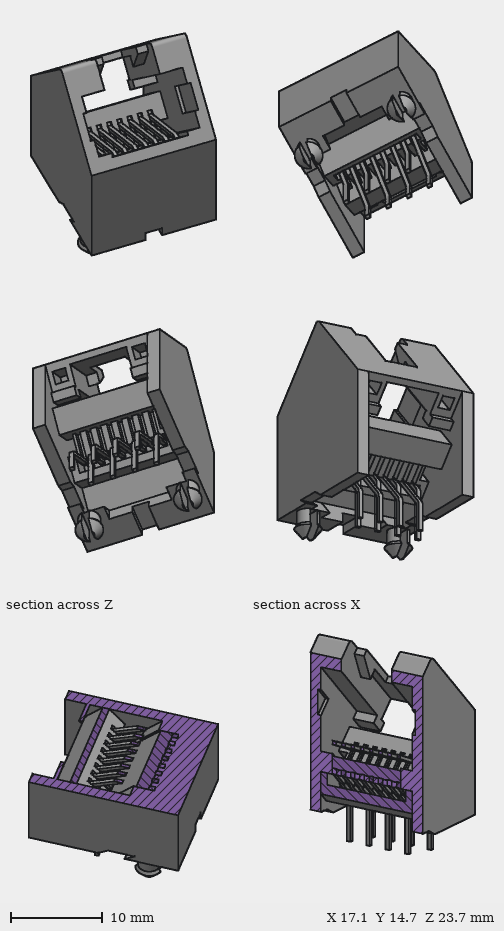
import cadquery as cq
import math

COS45 = math.sqrt(0.5)
OVERSHOOT = 1.18
TOTAL_HEIGHT = 23.7

LENGTH = 17.1
HALF_WIDTH = 7.37
SHOULDER_Z = 12.09
RIDGE_RADIUS = 0.52
RIDGE_TOP_Z = SHOULDER_Z + LENGTH / 2 - RIDGE_RADIUS * (math.sqrt(2) - 1)
INNER_HALF_WIDTH = 5.95
ROOF_ABOVE = SHOULDER_Z * COS45
FACE_ALONG = (LENGTH + SHOULDER_Z) * COS45

WALL_REAR = SHOULDER_Z * COS45
WALL_FRONT = 9.67
WALL_BOTTOM = 4.03

CAVITY_TOP = 5.02
CAVITY_BOTTOM = -1.8
CONTACT_BAY_BOTTOM = -2.25
SIDE_RELIEF_HALF_WIDTH = 6.35
SIDE_RELIEF_REAR = 15.71
SIDE_RELIEF_BOTTOM = 0.1
SIDE_RELIEF_TOP = 3.18

LATCH_HALF_WIDTH = 3.27
LATCH_TOP = 7.75
LATCH_SLOT_HALF_WIDTH = 2.01
LATCH_SLOT_REAR = 12.77
LATCH_MOUTH_REAR = 18.77
LATCH_RAMP_DEPTH = 1.25

RIB_REAR = 7.77
RIB_TOP = 5.12
CORE_INNER_Y = 3.89
CORE_OUTER_Y = 5.38
CORE_BOTTOM = 6.07
CORE_TOP = 7.54
CORE_DEPTH = 3.55

BASE_REAR_X = 12.2
BASE_RELIEF_HALF_WIDTH = 3.63
DRAIN_HALF_WIDTH = 0.97
DRAIN_HEIGHT = 1.05
NOTCH_REAR_X = 7.95
NOTCH_LENGTH = 3.03
NOTCH_HEIGHT = 0.7
NOTCH_SHIFT = 1.15

PEG_X = 13.3
PEG_Y = 5.74
PEG_RADIUS = 1.25
PEG_BARB_RADIUS = 1.55
PEG_TIP_RADIUS = 0.6
PEG_NECK_Z = -1.59
PEG_BARB_Z = -1.97
PEG_TIP_Z = -3.1
PEG_SPLIT = 0.9

BLOCK_REAR = 6.28
BLOCK_BOTTOM = -0.05
BLOCK_TOP = 3.03
FOOT_REAR = RIB_REAR
FOOT_FRONT = 11.07
FOOT_TOP = -2.37
FOOT_BOTTOM = -5.33
STEM_HALF_WIDTH = 4.8
POCKET_HALF_WIDTH = 5.12
POCKET_BOTTOM = -4.43
TONGUE_TOP = -2.0
TONGUE_FRONT = 16.16
ROOT_RELIEF_TOP = -1.7
COMB_SLOT_REAR = 9.3
COMB_SLOT_TOP = 1.33

CONTACT_COUNT = 8
WIRE_WIDTH = 0.5
WIRE_THICKNESS = 0.43
SPRING_SPAN = 8.44
TAIL_SPAN = 8.89
SPRING_ANGLE = math.radians(20)
HAIRPIN_RADIUS = 0.9
LEG_TOP = -3.0
LEG_BOTTOM = LEG_TOP - WIRE_THICKNESS
JOG_ALONG = 8.82
TAIL_BEND_RADIUS = 1.0
OUTER_ROW_X = 4.2
INNER_ROW_X = 6.75
BAY_HALF_WIDTH = (SPRING_SPAN + WIRE_WIDTH) / 2
TAIL_TIP_Z = RIDGE_TOP_Z - TOTAL_HEIGHT


def world(along, above):
    """X and Z of a point given in the tilted frame."""
    return ((along - above) * COS45, (along + above) * COS45)


def side_prism(points, y_min, y_max):
    """Closed polygon of (X, Z) points, filled from y_min to y_max."""
    return cq.Workplane("XZ", origin=(0, y_max, 0)).polyline(points).close().extrude(y_max - y_min)


def tilted_prism(points, y_min, y_max):
    return side_prism([world(*point) for point in points], y_min, y_max)


def tilted_box(rear, front, bottom, top, half_width, center_y=0.0):
    corners = [(rear, bottom), (front, bottom), (front, top), (rear, top)]
    return tilted_prism(corners, center_y - half_width, center_y + half_width)


def spread(index, span):
    """Y of one contact in a centered row, counted from the +Y side."""
    return span / 2 - index * span / (CONTACT_COUNT - 1)


def shell():
    outline = [
        (0, 0),
        (LENGTH, 0),
        (LENGTH, SHOULDER_Z),
        (LENGTH / 2, SHOULDER_Z + LENGTH / 2),
        (0, SHOULDER_Z),
    ]
    return side_prism(outline, -HALF_WIDTH, HALF_WIDTH).edges("|Y and >Z").fillet(RIDGE_RADIUS)


def base_cut(front_x, height, half_width):
    """Box cut into the base from its rear edge, open underneath."""
    corners = [(BASE_REAR_X, 0), (front_x, 0), (front_x, height), (BASE_REAR_X, height)]
    return side_prism(corners, -half_width, half_width)


def rear_opening():
    """Open space between the side walls, where the carrier and the contact tails sit."""
    foot_wall_sum = FOOT_FRONT / COS45
    base_top_x = (foot_wall_sum + BASE_REAR_X) / 2
    base_top_z = base_top_x - BASE_REAR_X
    outline = [
        (-OVERSHOOT, -OVERSHOOT),
        (BASE_REAR_X - OVERSHOOT, -OVERSHOOT),
        (base_top_x, base_top_z),
        world(FOOT_FRONT, CAVITY_BOTTOM),
        world(WALL_FRONT, CAVITY_BOTTOM),
        world(WALL_FRONT, WALL_BOTTOM),
        world(WALL_REAR, WALL_BOTTOM),
        (0, SHOULDER_Z),
        (-OVERSHOOT, SHOULDER_Z),
    ]
    opening = side_prism(outline, -INNER_HALF_WIDTH, INNER_HALF_WIDTH)
    center_relief = base_cut(base_top_x, base_top_z, BASE_RELIEF_HALF_WIDTH)
    drain = base_cut(LENGTH, DRAIN_HEIGHT, DRAIN_HALF_WIDTH)
    return opening.union(center_relief).union(drain)


def plug_cavity():
    mouth = FACE_ALONG + OVERSHOOT
    cavity = tilted_box(WALL_FRONT, mouth, CAVITY_BOTTOM, CAVITY_TOP, INNER_HALF_WIDTH)
    contact_bay = tilted_box(TONGUE_FRONT, mouth, CONTACT_BAY_BOTTOM, CAVITY_TOP, BAY_HALF_WIDTH)
    tongue_bed = tilted_box(WALL_FRONT, TONGUE_FRONT, LEG_TOP, CAVITY_TOP, BAY_HALF_WIDTH)
    side_relief = tilted_box(
        SIDE_RELIEF_REAR, mouth, SIDE_RELIEF_BOTTOM, SIDE_RELIEF_TOP, SIDE_RELIEF_HALF_WIDTH
    )
    return cavity.union(contact_bay).union(tongue_bed).union(side_relief)


def latch_channel():
    """Channel for the plug latch, open to the rear, with a wider mouth and two catch ramps."""
    mouth = FACE_ALONG + OVERSHOOT
    roof = ROOF_ABOVE + OVERSHOOT
    channel = tilted_box(WALL_REAR - OVERSHOOT, mouth, BLOCK_TOP, LATCH_TOP, LATCH_HALF_WIDTH)
    ramp_outline = [
        (SIDE_RELIEF_REAR, LATCH_TOP),
        (SIDE_RELIEF_REAR, LATCH_TOP - LATCH_RAMP_DEPTH),
        (LATCH_MOUTH_REAR, LATCH_TOP),
    ]
    channel = channel.cut(tilted_prism(ramp_outline, -LATCH_HALF_WIDTH, LATCH_HALF_WIDTH))
    slot = tilted_box(LATCH_SLOT_REAR, mouth, CAVITY_TOP, roof, LATCH_SLOT_HALF_WIDTH)
    wide_mouth = tilted_box(LATCH_MOUTH_REAR, mouth, CAVITY_TOP, roof, LATCH_HALF_WIDTH)
    return channel.union(slot).union(wide_mouth)


def rear_ribs():
    ribs = tilted_box(RIB_REAR, WALL_REAR, WALL_BOTTOM, RIB_TOP, INNER_HALF_WIDTH)
    return ribs.cut(tilted_box(RIB_REAR, WALL_REAR, WALL_BOTTOM, RIB_TOP, LATCH_HALF_WIDTH))


def core_hole(side):
    center_y = side * (CORE_INNER_Y + CORE_OUTER_Y) / 2
    half_width = (CORE_OUTER_Y - CORE_INNER_Y) / 2
    return tilted_box(WALL_REAR, WALL_REAR + CORE_DEPTH, CORE_BOTTOM, CORE_TOP, half_width, center_y)


def side_notches():
    outline = [
        (NOTCH_REAR_X, 0),
        (NOTCH_REAR_X + NOTCH_LENGTH, 0),
        (NOTCH_REAR_X + NOTCH_LENGTH + NOTCH_SHIFT, NOTCH_HEIGHT),
        (NOTCH_REAR_X + NOTCH_SHIFT, NOTCH_HEIGHT),
    ]
    return side_prism(outline, -HALF_WIDTH, HALF_WIDTH)


def board_peg(side):
    profile = [
        (0, 0),
        (PEG_RADIUS, 0),
        (PEG_RADIUS, PEG_NECK_Z),
        (PEG_BARB_RADIUS, PEG_BARB_Z),
        (PEG_TIP_RADIUS, PEG_TIP_Z),
        (0, PEG_TIP_Z),
    ]
    peg = cq.Workplane("XZ").polyline(profile).close().revolve(360, (0, 0, 0), (0, 1, 0))
    split = cq.Workplane("XY").box(4 * PEG_RADIUS, PEG_SPLIT, -2 * PEG_TIP_Z)
    return peg.cut(split).translate((PEG_X, side * PEG_Y, 0))


def make_housing(contacts):
    housing = shell().cut(rear_opening()).cut(plug_cavity()).cut(latch_channel())
    housing = housing.union(rear_ribs()).cut(side_notches())
    for side in (-1, 1):
        housing = housing.cut(core_hole(side)).union(board_peg(side))
    for contact in contacts:
        housing = housing.cut(contact)
    return housing


def make_carrier(contacts):
    block = tilted_box(BLOCK_REAR, WALL_FRONT, BLOCK_BOTTOM, BLOCK_TOP, INNER_HALF_WIDTH)
    stem = tilted_box(FOOT_REAR, WALL_FRONT, LEG_TOP, BLOCK_BOTTOM, STEM_HALF_WIDTH)
    foot = tilted_box(FOOT_REAR, FOOT_FRONT, FOOT_BOTTOM, FOOT_TOP, INNER_HALF_WIDTH)
    tongue = tilted_box(WALL_FRONT, TONGUE_FRONT, LEG_TOP, TONGUE_TOP, BAY_HALF_WIDTH)
    pocket = tilted_box(FOOT_REAR, FOOT_FRONT, POCKET_BOTTOM, LEG_TOP, POCKET_HALF_WIDTH)
    root_relief = tilted_box(COMB_SLOT_REAR, WALL_FRONT, TONGUE_TOP, ROOT_RELIEF_TOP, STEM_HALF_WIDTH)
    carrier = block.union(stem).union(foot).union(tongue).cut(pocket).cut(root_relief)
    for index, contact in enumerate(contacts):
        y = spread(index, SPRING_SPAN)
        comb_slot = tilted_box(COMB_SLOT_REAR, WALL_FRONT, TONGUE_TOP, COMB_SLOT_TOP, WIRE_WIDTH / 2, y)
        stem_groove = tilted_box(FOOT_REAR, JOG_ALONG, LEG_TOP, BLOCK_BOTTOM, WIRE_WIDTH / 2, y)
        carrier = carrier.cut(comb_slot).cut(stem_groove).cut(contact)
    return carrier


def contact_spring(y):
    """Leg under the tongue, hairpin around its tip and spring back up into the plug cavity."""
    center = (TONGUE_FRONT, LEG_BOTTOM + HAIRPIN_RADIUS)
    inner_radius = HAIRPIN_RADIUS - WIRE_THICKNESS

    def on_hairpin(radius, angle):
        return world(center[0] + radius * math.sin(angle), center[1] + radius * math.cos(angle))

    def spring_end(radius):
        rise = (center[0] - COMB_SLOT_REAR) * math.tan(SPRING_ANGLE) + radius / math.cos(SPRING_ANGLE)
        return world(COMB_SLOT_REAR, center[1] + rise)

    middle = (SPRING_ANGLE + math.pi) / 2
    outline = (
        cq.Workplane("XZ", origin=(0, y + WIRE_WIDTH / 2, 0))
        .moveTo(*world(JOG_ALONG, LEG_BOTTOM))
        .lineTo(*on_hairpin(HAIRPIN_RADIUS, math.pi))
        .threePointArc(on_hairpin(HAIRPIN_RADIUS, middle), on_hairpin(HAIRPIN_RADIUS, SPRING_ANGLE))
        .lineTo(*spring_end(HAIRPIN_RADIUS))
        .lineTo(*spring_end(inner_radius))
        .lineTo(*on_hairpin(inner_radius, SPRING_ANGLE))
        .threePointArc(on_hairpin(inner_radius, middle), on_hairpin(inner_radius, math.pi))
        .lineTo(*world(JOG_ALONG, LEG_TOP))
        .close()
    )
    return outline.extrude(WIRE_WIDTH)


def contact_tail(y, rear_x):
    """Sloping lead behind the jog, bent down into a straight solder tail."""
    inner_radius = TAIL_BEND_RADIUS - WIRE_THICKNESS
    center_x = rear_x + TAIL_BEND_RADIUS
    center_z = center_x + (LEG_TOP - TAIL_BEND_RADIUS) / COS45

    def on_bend(radius, degrees):
        angle = math.radians(degrees)
        return (center_x - radius * math.cos(angle), center_z + radius * math.sin(angle))

    outline = (
        cq.Workplane("XZ", origin=(0, y + WIRE_WIDTH / 2, 0))
        .moveTo(rear_x, TAIL_TIP_Z)
        .lineTo(*on_bend(TAIL_BEND_RADIUS, 0))
        .threePointArc(on_bend(TAIL_BEND_RADIUS, 22.5), on_bend(TAIL_BEND_RADIUS, 45))
        .lineTo(*world(JOG_ALONG, LEG_TOP))
        .lineTo(*world(JOG_ALONG, LEG_BOTTOM))
        .lineTo(*on_bend(inner_radius, 45))
        .threePointArc(on_bend(inner_radius, 22.5), on_bend(inner_radius, 0))
        .lineTo(rear_x + WIRE_THICKNESS, TAIL_TIP_Z)
        .close()
    )
    return outline.extrude(WIRE_WIDTH)


def make_contact(index):
    """One contact, whose spring and tail rows differ in span; tails alternate between two rows."""
    row_x = OUTER_ROW_X if index % 2 == 0 else INNER_ROW_X
    spring = contact_spring(spread(index, SPRING_SPAN))
    return spring.union(contact_tail(spread(index, TAIL_SPAN), row_x))


contacts = [make_contact(index) for index in range(CONTACT_COUNT)]
housing = make_housing(contacts)
carrier = make_carrier(contacts)

result = cq.Compound.makeCompound(
    [housing.val(), carrier.val(), *[contact.val() for contact in contacts]]
)